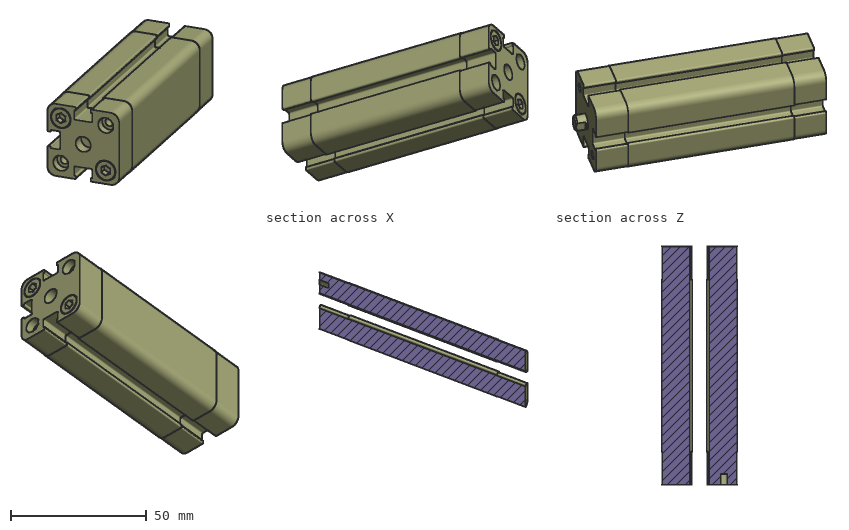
import cadquery as cq
import math


total_length = 92.5
rod_length = 4.5
cap_length = 12.25
body_length = total_length - rod_length
barrel_length = body_length - 2 * cap_length

barrel_width = 29.05
cap_width = 28.8
barrel_corner_radius = 3.5
cap_corner_radius = barrel_corner_radius - (barrel_width - cap_width) / 2

barrel_chamber_half_width = 3.5
cap_chamber_half_width = 3.6
barrel_neck_half_width = 2.67
cap_neck_half_width = 2.93
barrel_slot_floor = 9.55
cap_slot_floor = 9.3
lip_underside = 12.95
mouth_radius = 0.55
lip_inner_radius = 0.5
chamber_lip_radius = 0.15
chamber_floor_radius = 0.55
slot_angles = (0, -90, 180)

screw_offset = 9.0
through_hole_diameter = 3.24
counterbore_diameter = 6.0
counterbore_depth = 3.6
center_hole_diameter = 6.0
center_hole_depth = 5.0
screw_recess_diameter = 8.0
screw_head_diameter = 7.5
screw_recess_depth = 4.0
hex_across_flats = 3.5
hex_depth = 3.0

rod_diameter = 6.0
rod_across_flats = 5.0
rod_flat_length = 3.5
rod_chamfer = 0.6

hole_centers = [(screw_offset, screw_offset), (-screw_offset, -screw_offset)]
screw_centers = [(-screw_offset, screw_offset), (screw_offset, -screw_offset)]


def section_plane(y):
    """Plane across the cylinder axis; negative extrusions run toward +Y."""
    return cq.Workplane("XZ", origin=(0, y, 0))


def t_slot(y, length, face, neck, chamber, floor):
    """Cutter for the T-slot that opens at the +Z face."""
    mouth = neck + mouth_radius
    return (
        section_plane(y)
        .moveTo(0, floor)
        .lineTo(chamber - chamber_floor_radius, floor)
        .radiusArc((chamber, floor + chamber_floor_radius), -chamber_floor_radius)
        .lineTo(chamber, lip_underside - chamber_lip_radius)
        .radiusArc((chamber - chamber_lip_radius, lip_underside), -chamber_lip_radius)
        .lineTo(neck + lip_inner_radius, lip_underside)
        .radiusArc((neck, lip_underside + lip_inner_radius), lip_inner_radius)
        .lineTo(neck, face - mouth_radius)
        .radiusArc((mouth, face), mouth_radius)
        .lineTo(0, face)
        .mirrorY()
        .extrude(-length)
    )


def slotted_bar(y, length, width, corner_radius, neck, chamber, floor):
    """Rounded square bar with T-slots on three of its sides."""
    bar = section_plane(y).rect(width, width).extrude(-length).edges("|Y").fillet(corner_radius)
    slot = t_slot(y, length, width / 2, neck, chamber, floor)
    for angle in slot_angles:
        bar = bar.cut(slot.rotate((0, 0, 0), (0, 1, 0), angle))
    return bar


def end_cap(y):
    return slotted_bar(
        y,
        cap_length,
        width=cap_width,
        corner_radius=cap_corner_radius,
        neck=cap_neck_half_width,
        chamber=cap_chamber_half_width,
        floor=cap_slot_floor,
    )


def barrel():
    return slotted_bar(
        cap_length,
        barrel_length,
        width=barrel_width,
        corner_radius=barrel_corner_radius,
        neck=barrel_neck_half_width,
        chamber=barrel_chamber_half_width,
        floor=barrel_slot_floor,
    )


def round_holes(centers, diameter, depth):
    """Round cutters that enter the rear face."""
    return section_plane(0).pushPoints(centers).circle(diameter / 2).extrude(-depth)


def screw_recesses():
    """Ring gap around each screw head plus its hexagon socket."""
    ring = (
        section_plane(0)
        .pushPoints(screw_centers)
        .circle(screw_recess_diameter / 2)
        .circle(screw_head_diameter / 2)
        .extrude(-screw_recess_depth)
    )
    hex_radius = hex_across_flats / math.sqrt(3)
    hex_points = [
        (hex_radius * math.sin(math.radians(angle)), hex_radius * math.cos(math.radians(angle)))
        for angle in range(0, 360, 60)
    ]
    for x, z in screw_centers:
        socket = section_plane(0).center(x, z).polyline(hex_points).close().extrude(-hex_depth)
        ring = ring.union(socket)
    return ring


def piston_rod():
    """Round rod with a chamfered tip and two wrench flats (-X and +X) that end in 45 degree slopes."""
    rod = section_plane(body_length).circle(rod_diameter / 2).extrude(-rod_length)
    rod = rod.faces(">Y").chamfer(rod_chamfer)
    flat_x = rod_across_flats / 2
    flat_start = total_length - rod_flat_length
    runout = rod_diameter / 2 - flat_x
    flat = (
        cq.Workplane("XY", origin=(0, 0, -rod_diameter / 2))
        .moveTo(flat_x, total_length)
        .lineTo(flat_x, flat_start)
        .lineTo(flat_x + runout, flat_start - runout)
        .lineTo(flat_x + runout, total_length)
        .close()
        .extrude(rod_diameter)
    )
    return rod.cut(flat).cut(flat.mirror("YZ"))


result = barrel().union(end_cap(0)).union(end_cap(cap_length + barrel_length)).union(piston_rod())
result = result.cut(round_holes(hole_centers, through_hole_diameter, body_length))
result = result.cut(round_holes(hole_centers, counterbore_diameter, counterbore_depth))
result = result.cut(round_holes([(0, 0)], center_hole_diameter, center_hole_depth))
result = result.cut(screw_recesses())